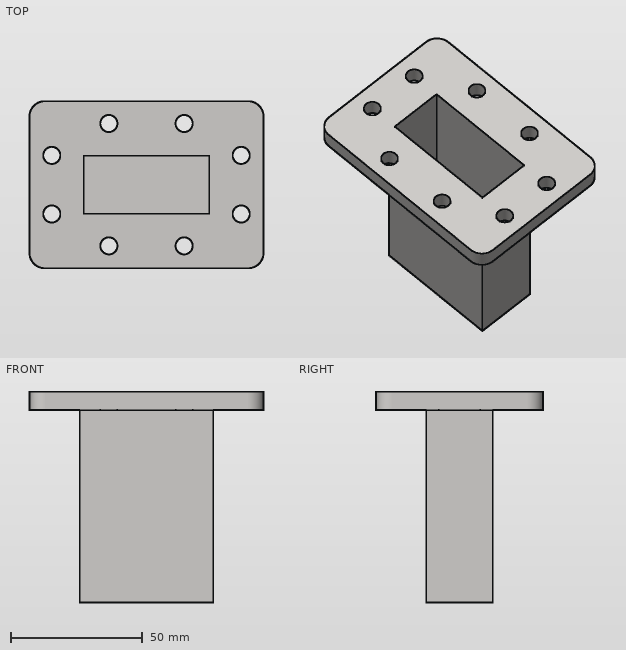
import cadquery as cq

flange_length = 88.9
flange_width = 63.5
flange_thickness = 7.0
corner_radius = 6.0

total_height = 80.0
bore_length = 47.6
bore_width = 22.1
wall = 1.6
tube_length = bore_length + 2 * wall
tube_width = bore_width + 2 * wall

hole_diameter = 6.4
long_side_pitch = 28.5
long_side_offset = 23.2
short_side_pitch = 22.2
short_side_offset = 35.9


def centred_block(length, width, bottom, top):
    """Block centred on the Z axis between two heights."""
    return (
        cq.Workplane("XY")
        .workplane(offset=bottom)
        .rect(length, width)
        .extrude(top - bottom)
    )


def bolt_hole_group(spacing_x, spacing_y):
    """Four hole cutters at the corners of a centred rectangle."""
    return (
        cq.Workplane("XY")
        .workplane(offset=flange_bottom)
        .rect(spacing_x, spacing_y, forConstruction=True)
        .vertices()
        .circle(hole_diameter / 2)
        .extrude(flange_thickness)
    )


flange_bottom = total_height - flange_thickness
flange = centred_block(flange_length, flange_width, flange_bottom, total_height)
flange = flange.edges("|Z").fillet(corner_radius)

bolt_holes = bolt_hole_group(long_side_pitch, 2 * long_side_offset).union(
    bolt_hole_group(2 * short_side_offset, short_side_pitch)
)

tube = centred_block(tube_length, tube_width, 0, total_height)
bore = centred_block(bore_length, bore_width, wall, total_height)

result = flange.union(tube).cut(bolt_holes).cut(bore)